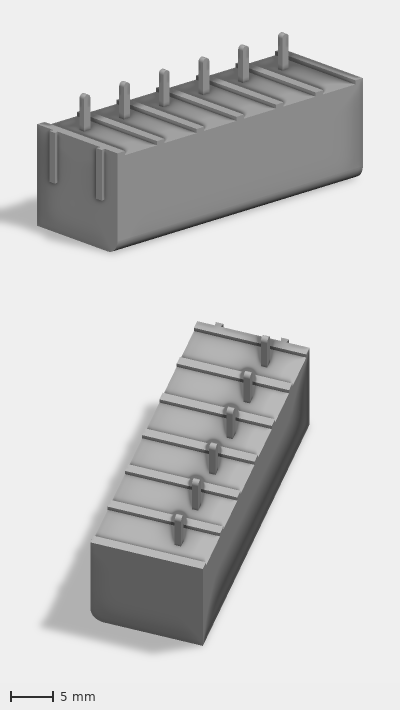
import cadquery as cq

total_length = 39.85
total_height = 16.7
body_width = 14.0
body_height = 12.7
bottom_edge_radius = 1.67

pole_count = 6
ridge_width = 1.2
ridge_height = 0.5

rib_depth = 0.55
rib_width = 1.0
rib_neck_width = 0.7
rib_length = body_height / 2
first_rib_x = 3.23
rib_spacing = 8.15

pin_width = 0.8
pin_thickness = 1.0
pin_x = 4.22

body_length = total_length - rib_depth
pole_pitch = (body_length - ridge_width) / pole_count
floor_height = body_height - ridge_height


def make_body():
    block = cq.Workplane("XY").box(body_width, body_length, body_height, centered=False)
    return block.edges("|Y and >X and <Z").fillet(bottom_edge_radius)


def make_recess(pole):
    """Shallow recess in the top between two neighbouring ridges."""
    start_y = ridge_width + pole * pole_pitch
    recess = cq.Workplane("XY").box(body_width, pole_pitch - ridge_width, ridge_height, centered=False)
    return recess.translate((0, start_y, floor_height))


def make_pin(pole):
    """Flat pin with a fully rounded tip, standing in the middle of a recess."""
    centre_y = (ridge_width + pole_pitch) / 2 + pole * pole_pitch
    half_thickness = pin_thickness / 2
    shoulder_height = total_height - half_thickness
    return (
        cq.Workplane("YZ", origin=(pin_x - pin_width / 2, 0, 0))
        .moveTo(centre_y - half_thickness, floor_height)
        .lineTo(centre_y - half_thickness, shoulder_height)
        .threePointArc((centre_y, total_height), (centre_y + half_thickness, shoulder_height))
        .lineTo(centre_y + half_thickness, floor_height)
        .close()
        .extrude(pin_width)
    )


def make_rib(centre_x):
    """Dovetail rib, narrow at the body and wide outside, running down from the top."""
    half_neck = rib_neck_width / 2
    half_width = rib_width / 2
    return (
        cq.Workplane("XY", origin=(centre_x, 0, body_height - rib_length))
        .polyline([
            (-half_neck, 0),
            (-half_width, -rib_depth),
            (half_width, -rib_depth),
            (half_neck, 0),
        ])
        .close()
        .extrude(rib_length)
    )


result = make_body()
for pole in range(pole_count):
    result = result.cut(make_recess(pole))
    result = result.union(make_pin(pole))
for rib_x in (first_rib_x, first_rib_x + rib_spacing):
    result = result.union(make_rib(rib_x))